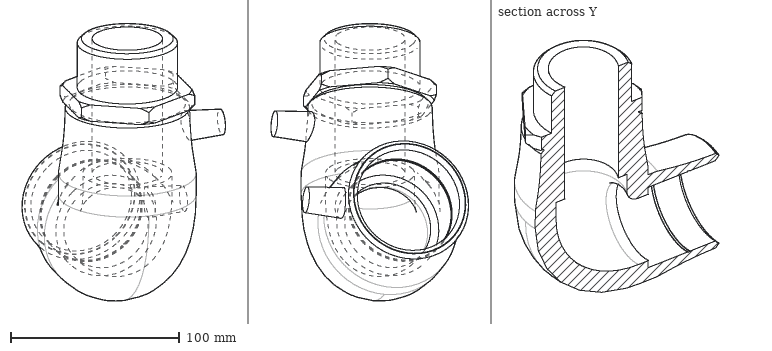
import cadquery as cq
import math

body_radius = 82.0 / 2
bend_radius = 33.0
collar_end = 46.3
arm_length = 90.05
sleeve_mid = 66.2
sleeve_mid_radius = 38.2
tip_radius = 37.0
tip_chamfer = 2.4

passage_radius = 26.5
socket_radius = 63.0 / 2
socket_depth = 49.9
mouth_radius = 34.2
mouth_chamfer = mouth_radius - socket_radius
groove_distance = 20.6
groove_width = 1.5
groove_depth = 0.3

hex_across_flats = 70.9
hex_top = 100.3
hex_chamfer_radius = 38.5
hex_chamfer_height = 2.2
spigot_radius = 59.7 / 2
spigot_top = 172 - body_radius
spigot_chamfer = 2.5
spigot_bore_radius = 41.8 / 2

pin_distance = 72.0
pin_root = 32.7
pin_tip = 100.0 - body_radius
pin_root_radius = 9.5
pin_tip_radius = 7.7


def turned_up(outline):
    """Revolve a closed (radius, height) outline about the Z axis."""
    return outline.close().revolve(360, (0, 0, 0), (0, 1, 0))


def to_side_arm(shape):
    """Swing a shape from the +Z arm to the -X arm."""
    return shape.rotate((0, 0, 0), (0, 1, 0), -90)


def arm():
    """One arm: straight collar, curved sleeve and chamfered tip."""
    return turned_up(
        cq.Workplane("XZ")
        .moveTo(0, bend_radius)
        .lineTo(body_radius, bend_radius)
        .lineTo(body_radius, collar_end)
        .threePointArc((sleeve_mid_radius, sleeve_mid), (tip_radius, arm_length - tip_chamfer))
        .lineTo(tip_radius - tip_chamfer, arm_length)
        .lineTo(0, arm_length)
    )


def outer_bend():
    """Quarter turn of the body section, cut off at the bend axis."""
    half_chord = math.sqrt(body_radius**2 - bend_radius**2)
    return (
        cq.Workplane("XY", origin=(0, 0, bend_radius))
        .moveTo(-bend_radius, -half_chord)
        .threePointArc((0, -body_radius), (body_radius, 0))
        .threePointArc((0, body_radius), (-bend_radius, half_chord))
        .close()
        .revolve(90, (-bend_radius, 0, 0), (-bend_radius, 1, 0))
    )


def passage():
    """Round passage through the bend and both collars."""
    bend = (
        cq.Workplane("XY", origin=(0, 0, bend_radius))
        .circle(passage_radius)
        .revolve(90, (-bend_radius, 0, 0), (-bend_radius, 1, 0))
    )
    straight = (
        cq.Workplane("XY", origin=(0, 0, bend_radius))
        .circle(passage_radius)
        .extrude(collar_end - bend_radius)
    )
    return bend.union(straight).union(to_side_arm(straight))


def socket():
    """Space inside the -X arm: flared mouth, bore and a fine groove."""
    groove_end = arm_length - groove_distance
    groove_start = groove_end - groove_width
    groove_radius = socket_radius + groove_depth
    return to_side_arm(turned_up(
        cq.Workplane("XZ")
        .moveTo(0, arm_length - socket_depth)
        .lineTo(socket_radius, arm_length - socket_depth)
        .lineTo(socket_radius, groove_start)
        .lineTo(groove_radius, groove_start)
        .lineTo(groove_radius, groove_end)
        .lineTo(socket_radius, groove_end)
        .lineTo(socket_radius, arm_length - mouth_chamfer)
        .lineTo(mouth_radius, arm_length)
        .lineTo(0, arm_length)
    ))


def hexagon():
    """Hexagon with corners along X and both ends chamfered."""
    height = hex_top - arm_length
    corner_radius = hex_across_flats / math.sqrt(3)
    prism = (
        cq.Workplane("XY", origin=(0, 0, arm_length))
        .polygon(6, 2 * corner_radius)
        .extrude(height)
    )
    envelope = turned_up(
        cq.Workplane("XZ")
        .moveTo(0, arm_length)
        .lineTo(hex_chamfer_radius, arm_length)
        .lineTo(corner_radius, arm_length + hex_chamfer_height)
        .lineTo(corner_radius, hex_top - hex_chamfer_height)
        .lineTo(hex_chamfer_radius, hex_top)
        .lineTo(0, hex_top)
    )
    return prism.intersect(envelope)


def spigot():
    """Round spigot above the hexagon."""
    return (
        cq.Workplane("XY", origin=(0, 0, hex_top))
        .circle(spigot_radius)
        .extrude(spigot_top - hex_top)
        .faces(">Z")
        .chamfer(spigot_chamfer)
    )


def spigot_bore():
    """Bore from the spigot end down to the passage."""
    return (
        cq.Workplane("XY", origin=(0, 0, collar_end))
        .circle(spigot_bore_radius)
        .extrude(spigot_top - collar_end)
    )


def pin(x, z):
    """Tapered terminal pin pointing along +Y."""
    return cq.Workplane(cq.Solid.makeCone(
        pin_root_radius,
        pin_tip_radius,
        pin_tip - pin_root,
        cq.Vector(x, pin_root, z),
        cq.Vector(0, 1, 0),
    ))


body = outer_bend().union(arm()).union(to_side_arm(arm()))
body = body.union(hexagon()).union(spigot())
for pin_x, pin_z in ((-pin_distance, 0), (0, pin_distance)):
    body = body.union(pin(pin_x, pin_z))

result = body.cut(passage()).cut(socket()).cut(spigot_bore())